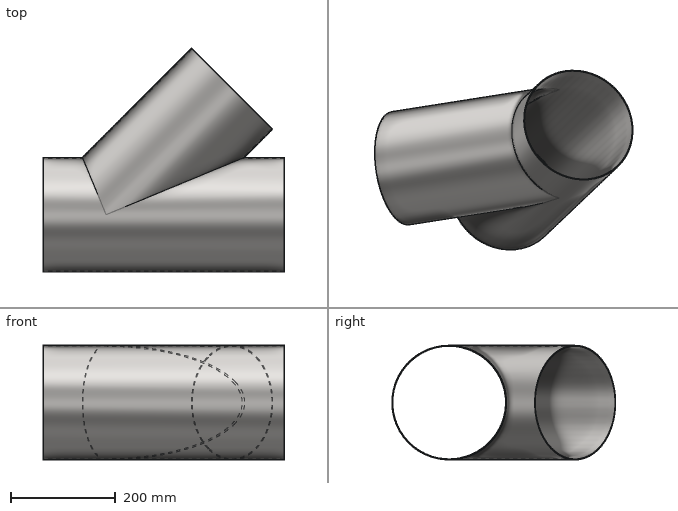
import cadquery as cq
import math

outer_diameter = 219.1
wall_thickness = 2.0
run_length = 460.0
inlet_to_crossing = 120.0
branch_length = 340.0
branch_angle = 45.0

outer_radius = outer_diameter / 2
bore_radius = outer_radius - wall_thickness

crossing = cq.Vector(0, 0, 0)
run_start = cq.Vector(-inlet_to_crossing, 0, 0)
run_direction = cq.Vector(1, 0, 0)
branch_direction = cq.Vector(
    math.cos(math.radians(branch_angle)),
    math.sin(math.radians(branch_angle)),
    0,
)


def round_bar(radius, length, start, direction):
    """Solid cylinder running from start along direction."""
    return cq.Workplane(cq.Solid.makeCylinder(radius, length, start, direction))


def solid_lateral(radius):
    """Run and branch of the given radius, joined as one solid body."""
    run = round_bar(radius, run_length, run_start, run_direction)
    branch = round_bar(radius, branch_length, crossing, branch_direction)
    return run.union(branch)


result = solid_lateral(outer_radius).cut(solid_lateral(bore_radius))